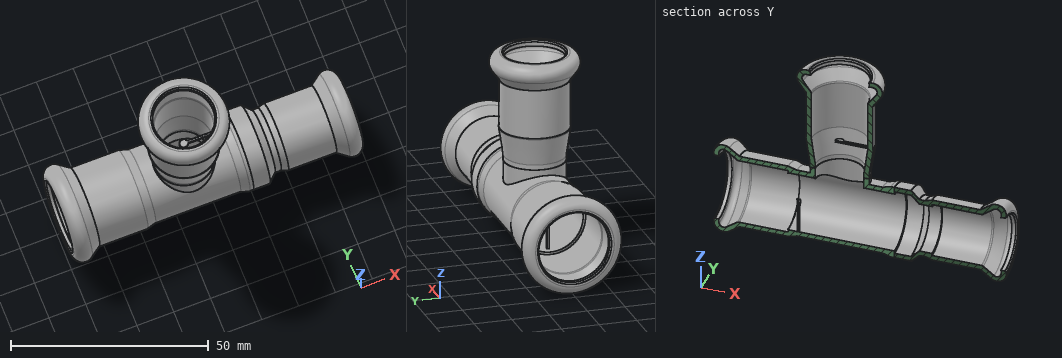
import cadquery as cq
import math


LENGTH = 79.0
BRANCH_X = 34.0
BRANCH_TOP_Z = 40.7
WALL = 1.5

LARGE_SOCKET_R = 21.3 / 2
SMALL_SOCKET_R = 18.2 / 2
RUN_R = 20.0 / 2
BRANCH_STUB_R = 16.0 / 2
BRANCH_NECK_R = 16.1 / 2
REDUCER_NECK_R = 17.0 / 2
RUN_BORE_R = RUN_R - WALL
SMALL_BORE_R = SMALL_SOCKET_R - WALL

LARGE_BEAD_R = 26.2 / 2
SMALL_BEAD_R = 23.2 / 2
BEAD_ROUND = 2.7
BEAD_LENGTH = 7.0
LARGE_LIP_R = 18.8 / 2
SMALL_LIP_R = 15.8 / 2
MOUTH_CHAMFER = 0.4
SOCKET_DEPTH = 20.1
THROAT_ROUND = 0.8

RUN_START_X = 22.4
RUN_END_X = 45.5
TEE_FLARE_END_X = 47.8
TEE_END_X = 48.8
REDUCER_CONE_START_X = 53.3
REDUCER_NECK_START_X = 55.5
REDUCER_NECK_END_X = 57.2
REDUCER_SOCKET_X = LENGTH - SOCKET_DEPTH

BRANCH_JOINT_Z = 11.7
BRANCH_CONE_START_Z = 13.1
BRANCH_SOCKET_Z = BRANCH_TOP_Z - SOCKET_DEPTH
BRANCH_RIDGE_R = 18.3 / 2
BRANCH_RIDGE_HEIGHT = 0.2

MARKER_DISC_R = 1.1
MARKER_BAR_WIDTH = 0.6
MARKER_THICKNESS = 0.6

LEFT_MOUTH = cq.Plane(origin=(0, 0, 0), xDir=(1, 0, 0), normal=(0, -1, 0))
RIGHT_MOUTH = cq.Plane(origin=(LENGTH, 0, 0), xDir=(-1, 0, 0), normal=(0, 1, 0))
BRANCH_MOUTH = cq.Plane(origin=(BRANCH_X, 0, BRANCH_TOP_Z), xDir=(0, 0, -1), normal=(0, -1, 0))


def revolve(sketch):
    """Turn a closed (depth, radius) outline about its local X axis."""
    return sketch.close().revolve(360, (0, 0, 0), (1, 0, 0))


def turned(frame, points):
    """Solid of revolution below a polyline of (depth, radius) points."""
    outline = [(points[0][0], 0), *points, (points[-1][0], 0)]
    return revolve(cq.Workplane(frame).polyline(outline))


def around(centre, radius, angle):
    """Point on a circle in the (depth, radius) plane."""
    return (centre[0] + radius * math.cos(angle), centre[1] + radius * math.sin(angle))


def bead_geometry(bead_r, socket_r):
    """Centre of the bead round and the angle at which the back cone leaves it."""
    centre = (BEAD_ROUND, bead_r - BEAD_ROUND)
    back = BEAD_LENGTH - centre[0]
    drop = socket_r - centre[1]
    tangent_angle = math.atan2(drop, back) + math.acos(BEAD_ROUND / math.hypot(back, drop))
    return centre, tangent_angle


def beaded_mouth(frame, bead_r, socket_r):
    """Rounded bead whose back runs into the socket as a cone tangent to the round."""
    centre, tangent_angle = bead_geometry(bead_r, socket_r)
    return revolve(
        cq.Workplane(frame)
        .lineTo(0, centre[1])
        .threePointArc(
            around(centre, BEAD_ROUND, (math.pi + tangent_angle) / 2),
            around(centre, BEAD_ROUND, tangent_angle),
        )
        .lineTo(BEAD_LENGTH, socket_r)
        .lineTo(BEAD_LENGTH, 0)
    )


def socket_bore(frame, bead_r, lip_r, socket_r):
    """Chamfered lip, hollow inside the bead one wall below its outside, and a straight pipe bore."""
    centre, tangent_angle = bead_geometry(bead_r, socket_r)
    bore_r = socket_r - WALL
    hollow_round = BEAD_ROUND - WALL
    cone_start = around(centre, hollow_round, tangent_angle)

    corner_depth = cone_start[0] + (cone_start[1] - bore_r) * math.tan(tangent_angle)
    round_end_depth = corner_depth + THROAT_ROUND * math.tan((math.pi / 2 - tangent_angle) / 2)
    throat_centre = (round_end_depth, bore_r + THROAT_ROUND)
    cone_end = around(throat_centre, -THROAT_ROUND, tangent_angle)
    throat_mid = around(throat_centre, -THROAT_ROUND, (tangent_angle + math.pi / 2) / 2)
    return revolve(
        cq.Workplane(frame)
        .lineTo(0, lip_r + MOUTH_CHAMFER)
        .lineTo(MOUTH_CHAMFER, lip_r)
        .lineTo(WALL, lip_r)
        .lineTo(WALL, centre[1])
        .threePointArc(around(centre, hollow_round, (math.pi + tangent_angle) / 2), cone_start)
        .lineTo(*cone_end)
        .threePointArc(throat_mid, (round_end_depth, bore_r))
        .lineTo(SOCKET_DEPTH, bore_r)
        .lineTo(SOCKET_DEPTH, 0)
    )


def depth_marker(plane, wall_r):
    """Disc on the axis with a bar along the plane's local X that ends on the round wall."""
    disc = cq.Workplane(plane).circle(MARKER_DISC_R).extrude(MARKER_THICKNESS)
    bar = (
        cq.Workplane(plane)
        .center(wall_r / 2, 0)
        .rect(wall_r, MARKER_BAR_WIDTH)
        .extrude(MARKER_THICKNESS)
    )
    bore = cq.Workplane(plane).circle(wall_r).extrude(MARKER_THICKNESS)
    return disc.union(bar).intersect(bore)


def build_tee():
    run = turned(
        LEFT_MOUTH,
        [
            (BEAD_LENGTH, LARGE_SOCKET_R),
            (SOCKET_DEPTH, LARGE_SOCKET_R),
            (RUN_START_X, RUN_R),
            (RUN_END_X, RUN_R),
            (TEE_FLARE_END_X, LARGE_SOCKET_R),
            (TEE_END_X, LARGE_SOCKET_R),
        ],
    )
    stub_plane = cq.Workplane("XY").center(BRANCH_X, 0)
    stub = stub_plane.circle(BRANCH_STUB_R).extrude(BRANCH_JOINT_Z)
    stub_bore = stub_plane.circle(BRANCH_STUB_R - WALL).extrude(BRANCH_JOINT_Z)
    run_bore = turned(LEFT_MOUTH, [(SOCKET_DEPTH, RUN_BORE_R), (TEE_END_X, RUN_BORE_R)])
    body = run.union(stub).union(beaded_mouth(LEFT_MOUTH, LARGE_BEAD_R, LARGE_SOCKET_R))
    body = body.cut(run_bore).cut(stub_bore)
    return body.cut(socket_bore(LEFT_MOUTH, LARGE_BEAD_R, LARGE_LIP_R, LARGE_SOCKET_R))


def build_branch_socket():
    cone_depth = BRANCH_TOP_Z - BRANCH_CONE_START_Z
    joint_depth = BRANCH_TOP_Z - BRANCH_JOINT_Z
    body = turned(
        BRANCH_MOUTH,
        [
            (BEAD_LENGTH, SMALL_SOCKET_R),
            (SOCKET_DEPTH, SMALL_SOCKET_R),
            (SOCKET_DEPTH, BRANCH_RIDGE_R),
            (SOCKET_DEPTH + BRANCH_RIDGE_HEIGHT, BRANCH_RIDGE_R),
            (cone_depth, BRANCH_NECK_R),
            (joint_depth, BRANCH_NECK_R),
        ],
    )
    neck_bore_r = BRANCH_STUB_R - WALL
    bore = turned(
        BRANCH_MOUTH,
        [
            (SOCKET_DEPTH, SMALL_BORE_R),
            (cone_depth, neck_bore_r),
            (joint_depth, neck_bore_r),
        ],
    )
    body = body.union(beaded_mouth(BRANCH_MOUTH, SMALL_BEAD_R, SMALL_SOCKET_R)).cut(bore)
    return body.cut(socket_bore(BRANCH_MOUTH, SMALL_BEAD_R, SMALL_LIP_R, SMALL_SOCKET_R))


def build_reducer():
    def right_stations(points):
        """Turn (x, radius) points into depths behind the right mouth."""
        return [(LENGTH - x, radius) for x, radius in points]

    body = turned(
        RIGHT_MOUTH,
        right_stations(
            [
                (LENGTH - BEAD_LENGTH, SMALL_SOCKET_R),
                (REDUCER_SOCKET_X, SMALL_SOCKET_R),
                (REDUCER_NECK_END_X, REDUCER_NECK_R),
                (REDUCER_NECK_START_X, REDUCER_NECK_R),
                (REDUCER_CONE_START_X, LARGE_SOCKET_R),
                (TEE_END_X, LARGE_SOCKET_R),
            ]
        ),
    )
    body = body.union(beaded_mouth(RIGHT_MOUTH, SMALL_BEAD_R, SMALL_SOCKET_R))
    bore = turned(
        RIGHT_MOUTH,
        right_stations(
            [
                (REDUCER_SOCKET_X, REDUCER_NECK_R - WALL),
                (REDUCER_NECK_START_X, REDUCER_NECK_R - WALL),
                (REDUCER_CONE_START_X, LARGE_SOCKET_R - WALL),
                (TEE_END_X, LARGE_SOCKET_R - WALL),
            ]
        ),
    )
    body = body.cut(bore)
    return body.cut(socket_bore(RIGHT_MOUTH, SMALL_BEAD_R, SMALL_LIP_R, SMALL_SOCKET_R))


run_marker_plane = cq.Plane(origin=(RUN_START_X, 0, 0), xDir=(0, 0, -1), normal=(1, 0, 0))
branch_marker_plane = cq.Plane(
    origin=(BRANCH_X, 0, BRANCH_SOCKET_Z), xDir=(1, 0, 0), normal=(0, 0, 1)
)

tee = build_tee()
branch_socket = build_branch_socket()
reducer = build_reducer()
markers = [
    depth_marker(plane, wall_r)
    for plane, wall_r in [(run_marker_plane, RUN_BORE_R), (branch_marker_plane, SMALL_BORE_R)]
]

result = cq.Compound.makeCompound(
    [tee.val(), branch_socket.val(), reducer.val(), *[marker.val() for marker in markers]]
)